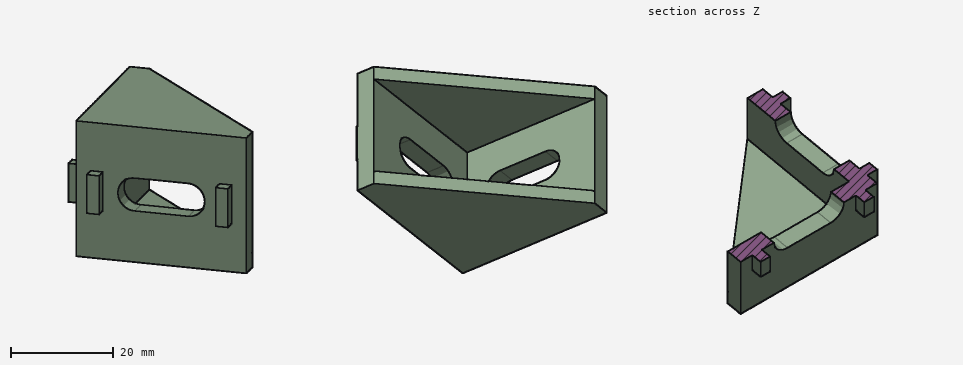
import cadquery as cq

overall = 37.5
height = 28.0
tab_size = 2.5
tab_height = 8.0
tab_inset = 3.0
wall = 4.0
gusset = 3.0
slot_length = 17.8
slot_width = 6.8

leg = overall - tab_size
mid_height = height / 2
tab_centers = [tab_inset + tab_size / 2, leg - tab_inset - tab_size / 2]


def make_body():
    """Right-angle bracket closed by a solid gusset block, outer corner at the origin."""
    outline = [(0, 0), (leg, 0), (leg, wall), (wall, leg), (0, leg)]
    return cq.Workplane("XY").polyline(outline).close().extrude(height)


def make_pocket():
    """Space between the legs and gussets, open along the sloping side."""
    return (
        cq.Workplane("XY")
        .box(leg, leg, height - 2 * gusset, centered=False)
        .translate((wall, wall, gusset))
    )


def make_slot():
    """Cutter for the horizontal slot through the leg on the XZ plane."""
    return (
        cq.Workplane("XZ")
        .center(leg / 2, mid_height)
        .slot2D(slot_length, slot_width)
        .extrude(-wall)
    )


def make_tabs():
    """Locating tabs projecting from the leg on the XZ plane."""
    return (
        cq.Workplane("XZ")
        .pushPoints([(x, mid_height) for x in tab_centers])
        .rect(tab_size, tab_height)
        .extrude(tab_size)
    )


def swap_legs(feature):
    """Mirror a feature across the bisecting plane X = Y onto the other leg."""
    return feature.mirror("YZ").rotate((0, 0, 0), (0, 0, 1), -90)


result = make_body().cut(make_pocket())
for cutter in (make_slot(), swap_legs(make_slot())):
    result = result.cut(cutter)
for tabs in (make_tabs(), swap_legs(make_tabs())):
    result = result.union(tabs)